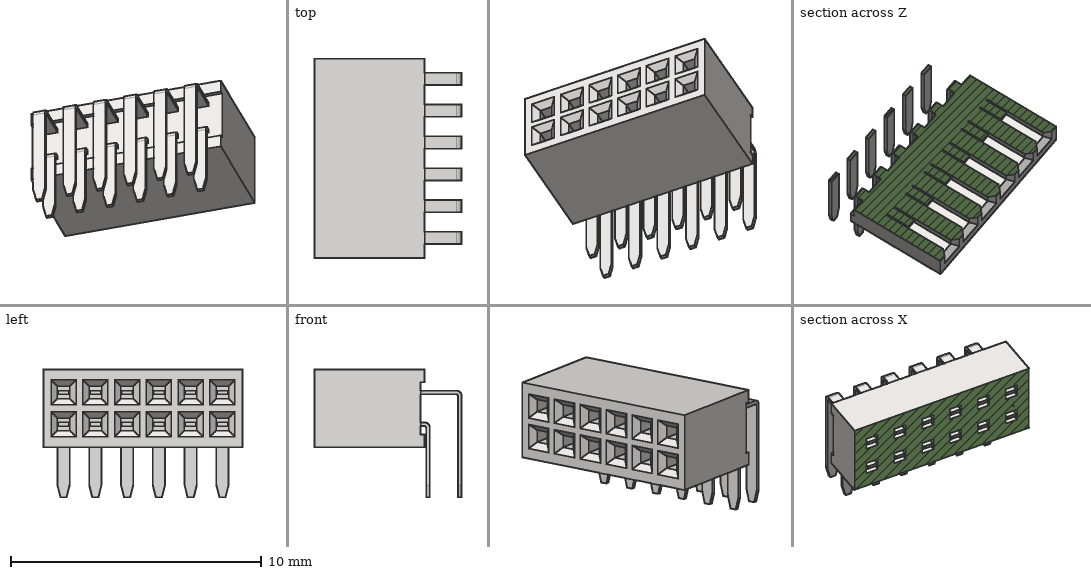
import cadquery as cq


PITCH = 1.27
COLUMNS = 6
ROWS = 2

HOUSING_DEPTH = 4.41
HOUSING_WIDTH = 7.97
HOUSING_HEIGHT = 3.12
LIP_HEIGHT = 0.52
LIP_DEPTH = 0.16

FUNNEL_MOUTH = 1.0
SOCKET_SIZE = 0.5
FUNNEL_DEPTH = (FUNNEL_MOUTH - SOCKET_SIZE) / 2
SOCKET_DEPTH = 3.0

TONGUE_WIDTH = 0.42
TONGUE_LENGTH = 1.0

PIN_WIDTH = 0.5
PIN_THICKNESS = 0.155
BEND_INNER_RADIUS = 0.06
BEND_OUTER_RADIUS = BEND_INNER_RADIUS + PIN_THICKNESS
REAR_PIN_REACH = 5.894
PIN_DROP = 2.0
TIP_LENGTH = 0.5
TIP_WIDTH = 0.25

REAR_FACE = HOUSING_DEPTH - LIP_DEPTH
PIN_ROOT = SOCKET_DEPTH + (REAR_FACE - SOCKET_DEPTH) / 2
COLUMN_POSITIONS = [(i - (COLUMNS - 1) / 2) * PITCH for i in range(COLUMNS)]
ROW_HEIGHTS = [HOUSING_HEIGHT / 2 + (j - (ROWS - 1) / 2) * PITCH for j in range(ROWS)]


def make_housing():
    """Block whose rear face is set back between an upper and a lower lip."""
    block = cq.Workplane("XY").box(
        HOUSING_DEPTH, HOUSING_WIDTH, HOUSING_HEIGHT, centered=(False, True, False)
    )
    recess = (
        cq.Workplane("XY")
        .box(LIP_DEPTH, HOUSING_WIDTH, HOUSING_HEIGHT - 2 * LIP_HEIGHT, centered=(False, True, False))
        .translate((REAR_FACE, 0, LIP_HEIGHT))
    )
    return block.cut(recess)


def make_socket(y, z):
    """Volume removed for one contact: the funnel and the square hole behind it."""
    funnel = (
        cq.Workplane("YZ", origin=(0, y, z))
        .rect(FUNNEL_MOUTH, FUNNEL_MOUTH)
        .workplane(offset=FUNNEL_DEPTH)
        .rect(SOCKET_SIZE, SOCKET_SIZE)
        .loft(ruled=True)
    )
    hole = (
        cq.Workplane("YZ", origin=(FUNNEL_DEPTH, y, z))
        .rect(SOCKET_SIZE, SOCKET_SIZE)
        .extrude(SOCKET_DEPTH - FUNNEL_DEPTH)
    )
    return funnel.union(hole)


def make_tongue(y, z):
    """Flat blade inside a socket, rooted in the solid wall behind the socket floor."""
    tongue_tip = SOCKET_DEPTH - TONGUE_LENGTH
    return (
        cq.Workplane("YZ", origin=(tongue_tip, y, z))
        .rect(TONGUE_WIDTH, PIN_THICKNESS)
        .extrude(PIN_ROOT - tongue_tip)
    )


def make_pin(y, z, reach):
    """Flat pin that leaves the rear face, bends down and ends in a tapered tip."""
    top = z + PIN_THICKNESS / 2
    bend_start = reach - BEND_OUTER_RADIUS
    bend_end = top - BEND_OUTER_RADIUS
    strip = (
        cq.Workplane("XZ", origin=(0, y, 0))
        .moveTo(PIN_ROOT, top)
        .lineTo(bend_start, top)
        .radiusArc((reach, bend_end), BEND_OUTER_RADIUS)
        .lineTo(reach, -PIN_DROP)
        .lineTo(reach - PIN_THICKNESS, -PIN_DROP)
        .lineTo(reach - PIN_THICKNESS, bend_end)
        .radiusArc((bend_start, top - PIN_THICKNESS), -BEND_INNER_RADIUS)
        .lineTo(PIN_ROOT, top - PIN_THICKNESS)
        .close()
        .extrude(PIN_WIDTH / 2, both=True)
    )
    half_pin = PIN_WIDTH / 2
    half_tip = TIP_WIDTH / 2
    shoulder = TIP_LENGTH - PIN_DROP
    silhouette = (
        cq.Workplane("YZ", origin=(0, y, 0))
        .polyline([
            (-half_pin, top),
            (-half_pin, shoulder),
            (-half_tip, -PIN_DROP),
            (half_tip, -PIN_DROP),
            (half_pin, shoulder),
            (half_pin, top),
        ])
        .close()
        .extrude(reach)
    )
    return strip.intersect(silhouette)


result = make_housing()
for row, row_height in enumerate(ROW_HEIGHTS):
    row_reach = REAR_PIN_REACH - (ROWS - 1 - row) * PITCH
    for column_y in COLUMN_POSITIONS:
        result = result.cut(make_socket(column_y, row_height))
        result = result.union(make_tongue(column_y, row_height))
        result = result.union(make_pin(column_y, row_height, row_reach))